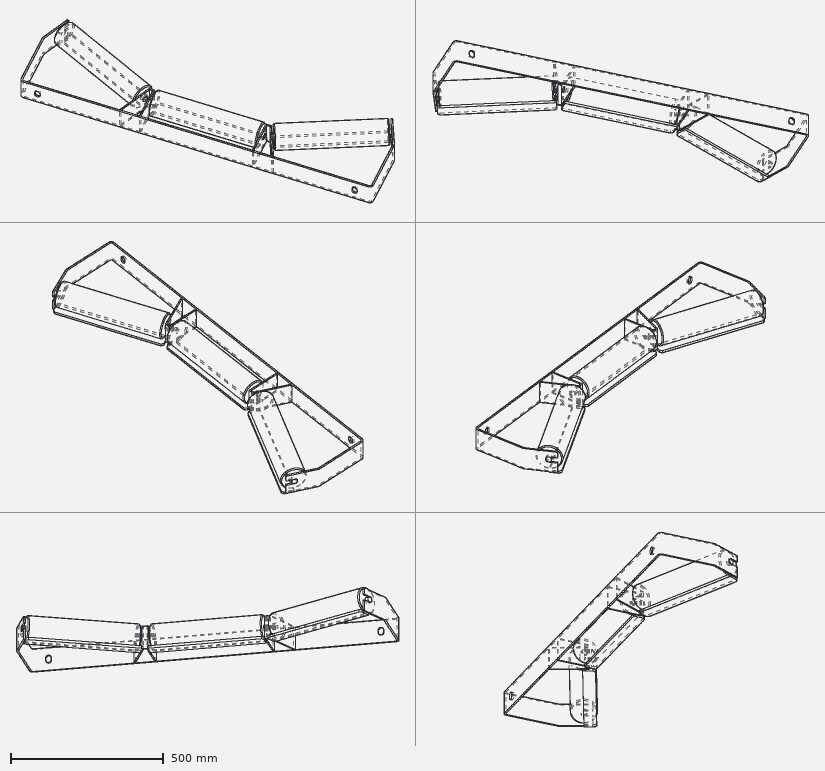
import cadquery as cq
import math

FRAME_LENGTH = 1240.0
BAR_HEIGHT = 79.0
BAR_THICKNESS = 6.0
BEND_RADIUS = 12.0
LEG_TIP = 30.0
HOLE_SPACING = 1116.0
HOLE_WIDTH = 19.0
HOLE_HEIGHT = 26.0

BRACKET_THICKNESS = 5.0
BRACKET_TOP_Y = 126.0

TILT = 25.0
ROLLER_RADIUS = 45.0
ROLLER_LENGTH = 378.0
ROLLER_CHAMFER = 4.0
AXLE_RADIUS = 10.0
SEAT_LENGTH = 392.0
AXIS_Z = 47.0
MIDDLE_Y = 100.0
SIDE_X = 402.0
SIDE_Y = 190.0

GUARD_WIDTH = 42.0
GUARD_THICKNESS = 9.0
GUARD_CHAMFER = 7.0

SEAT = SEAT_LENGTH / 2
AXLE_LENGTH = SEAT_LENGTH + 2 * BRACKET_THICKNESS
COS = math.cos(math.radians(TILT))
SIN = math.sin(math.radians(TILT))

LEFT = (-SIDE_X, SIDE_Y, -TILT)
MIDDLE = (0, MIDDLE_Y, 0)
RIGHT = (SIDE_X, SIDE_Y, TILT)
STATIONS = (LEFT, MIDDLE, RIGHT)


def place(body, station):
    """Move a body built along X at the origin onto a roller station."""
    x, y, turn = station
    return body.rotate((0, 0, 0), (0, 0, 1), turn).translate((x, y, AXIS_Z))


def rod(radius, length):
    """Round bar along X, centred on the origin."""
    return cq.Workplane("YZ").workplane(offset=-length / 2).circle(radius).extrude(length)


def left_point(along, across):
    """Plan point given along and across the left roller's axis, from its centre."""
    return (-SIDE_X + along * COS + across * SIN, SIDE_Y - along * SIN + across * COS)


def left_at_x(along, x):
    """Plan point at a given X on the plane square to the left roller's axis."""
    return left_point(along, (x + SIDE_X - along * COS) / SIN)


def left_at_y(along, y):
    """Plan point at a given Y on the plane square to the left roller's axis."""
    return left_point(along, (y - SIDE_Y + along * SIN) / COS)


def mirrored(points):
    return [(-x, y) for x, y in reversed(points)]


def round_corners(body, corners, radius):
    """Round the upright edges that stand at the given plan points and their mirror images."""
    for x, y in corners + mirrored(corners):
        nearest = cq.selectors.NearestToPointSelector((x, y, BAR_HEIGHT / 2))
        body = body.edges("|Z").edges(nearest).fillet(radius)
    return body


def make_frame():
    outer_x = -FRAME_LENGTH / 2
    inner_x = outer_x + BAR_THICKNESS
    outer_leg = -SEAT - BAR_THICKNESS
    outer_corners = [(outer_x, 0), left_at_x(outer_leg, outer_x)]
    inner_corners = [left_at_x(-SEAT, inner_x), (inner_x, BAR_THICKNESS)]
    tip = [left_point(outer_leg, LEG_TIP), left_point(-SEAT, LEG_TIP)]
    outline = outer_corners + tip + inner_corners
    frame = cq.Workplane("XY").polyline(outline + mirrored(outline)).close().extrude(BAR_HEIGHT)
    frame = round_corners(frame, outer_corners, BEND_RADIUS)
    frame = round_corners(frame, inner_corners, BEND_RADIUS - BAR_THICKNESS)

    for station in (LEFT, RIGHT):
        frame = frame.cut(place(make_axle_slot(), station))
    return frame.cut(make_mounting_holes())


def make_axle_slot():
    """Cutter for the round-ended slots, open at the leg tips, that take an axle."""
    length = SEAT_LENGTH + 4 * BAR_THICKNESS
    opening = cq.Workplane("XY").box(
        length, 2 * LEG_TIP, 2 * AXLE_RADIUS, centered=(True, False, True)
    )
    return rod(AXLE_RADIUS, length).union(opening)


def make_mounting_holes():
    x = HOLE_SPACING / 2
    return (
        cq.Workplane("XZ")
        .pushPoints([(-x, BAR_HEIGHT / 2), (x, BAR_HEIGHT / 2)])
        .slot2D(HOLE_HEIGHT, HOLE_WIDTH, 90)
        .extrude(-BAR_THICKNESS)
    )


def make_left_bracket():
    """Bent plate between the left and middle rollers, standing on the frame bar."""
    far = SEAT + BRACKET_THICKNESS
    bridge_y = BRACKET_TOP_Y - BRACKET_THICKNESS
    outline = [
        left_at_y(SEAT, BAR_THICKNESS),
        left_at_y(SEAT, BRACKET_TOP_Y),
        (-SEAT, BRACKET_TOP_Y),
        (-SEAT, BAR_THICKNESS),
        (-far, BAR_THICKNESS),
        (-far, bridge_y),
        left_at_y(far, bridge_y),
        left_at_y(far, BAR_THICKNESS),
    ]
    bracket = cq.Workplane("XY").polyline(outline).close().extrude(BAR_HEIGHT)
    for station in (LEFT, MIDDLE):
        bracket = bracket.cut(place(rod(AXLE_RADIUS, AXLE_LENGTH), station))
    return bracket


def make_roller():
    """Drum with its axle ends."""
    drum = rod(ROLLER_RADIUS, ROLLER_LENGTH).edges().chamfer(ROLLER_CHAMFER)
    return drum.union(rod(AXLE_RADIUS, AXLE_LENGTH))


def make_guard():
    """Plate touching the drum's underside, from below its axis to its rear."""
    return (
        cq.Workplane("XY")
        .box(SEAT_LENGTH, GUARD_WIDTH, GUARD_THICKNESS, centered=(True, False, False))
        .translate((0, 0, -ROLLER_RADIUS - GUARD_THICKNESS))
        .edges("|Z and >Y")
        .chamfer(GUARD_CHAMFER)
    )


frame = make_frame()
left_bracket = make_left_bracket()
brackets = [left_bracket, left_bracket.mirror("YZ")]
rollers = [place(make_roller(), station) for station in STATIONS]
guards = [place(make_guard(), station) for station in STATIONS]

bodies = [frame, *brackets, *rollers, *guards]
result = cq.Compound.makeCompound([body.solids().val() for body in bodies])